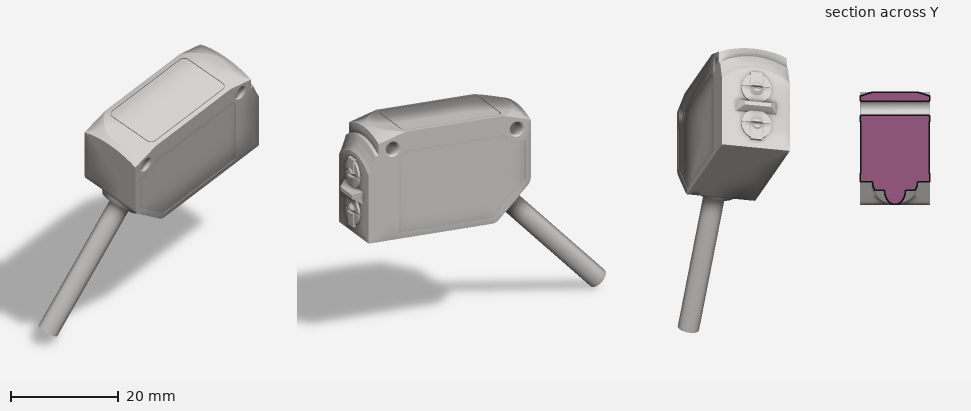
import cadquery as cq
import math

body_width = 13.0
body_depth = 31.15
body_height = 20.95
corner_cut = 7.1
corner_radius = 2.0
half_width = body_width / 2

crown_angle = 16.0
crown_radius = 18.0
crown_start = 1.1

hole_diameter = 2.55
hole_mouth_diameter = 3.0
hole_height = 17.95
hole_front = 2.85
hole_spacing = 25.4

window_width = 11.2
window_length = 20.55
window_center = 15.5
window_corner = 1.25
groove_width = 0.2
groove_depth = 0.2

panel_inset = 1.1
panel_rear = 27.0
panel_top = 17.25
panel_depth = 0.1
panel_corner_length = 1.15
panel_corner_height = 1.25
panel_hole_gap = 2.45
panel_hole_angle = 36.0

cover_axis_height = 6.25
cover_rim_radius = 12.65
cover_rim_rear = 31.65
cover_slope = [(31.8, 12.5), (32.2, 11.55), (32.75, 10.3), (33.2, 9.65)]
cover_rear = cover_slope[-1][0]

grip_height = 8.15
grip_rear = 34.8
grip_base = (7.9, 2.45)
grip_tip = (5.05, 0.75)

screw_offset = 3.6
screw_radius = 2.85
screw_rim = 0.4
screw_boss_height = 0.95
screw_boss_radius = 1.9
screw_boss_tip_radius = 0.8
screw_slot_width = 0.65
screw_slot_floor = 0.2
pointer_width = 2.2
pointer_reach = 3.05
pointer_height = 0.7

cable_radius = 2.0
axis_tilt = 135.0
cable_tip = -18.15
collar_profile = [(4.35, 0.0), (4.15, 0.6), (3.8, 1.0), (3.6, 1.1)]
overlap = 0.25


def side_block(outline, width):
    """Extrude a closed (Y, Z) outline symmetrically across X."""
    return cq.Workplane("YZ").polyline(outline).close().extrude(width / 2, both=True)


def rear_plane(y, height):
    """Plane facing +Y, its local x along -X and local y along +Z."""
    return cq.Workplane(cq.Plane(origin=(0, y, height), xDir=(-1, 0, 0), normal=(0, 1, 0)))


def crown_limit(end_y, inward):
    """Large cylinder rising from an end face; inward is +1 or -1 along Y."""
    slope = math.radians(crown_angle)
    axis = cq.Vector(0, inward * math.cos(slope), math.sin(slope))
    down = cq.Vector(0, inward * math.sin(slope), -math.cos(slope))
    crest = cq.Vector(0, end_y + inward * crown_start, body_height)
    start = crest + down * crown_radius - axis * body_depth
    return cq.Workplane(cq.Solid.makeCylinder(crown_radius, 3 * body_depth, start, axis))


def housing():
    outline = [
        (corner_cut, 0),
        (body_depth, 0),
        (body_depth, body_height),
        (0, body_height),
        (0, corner_cut),
    ]
    body = side_block(outline, body_width)
    reach = corner_cut + corner_radius
    cut_ends = cq.selectors.BoxSelector((-body_width, -reach, -reach), (body_width, reach, reach))
    body = body.edges("|X").edges(cut_ends).fillet(corner_radius)
    return body.intersect(crown_limit(0, 1)).intersect(crown_limit(body_depth, -1))


def mounting_hole(y):
    mouth_depth = (hole_mouth_diameter - hole_diameter) / 2
    half_profile = [
        (0, 0),
        (hole_diameter / 2, 0),
        (hole_diameter / 2, half_width - mouth_depth),
        (hole_mouth_diameter / 2, half_width),
        (0, half_width),
    ]
    half = cq.Workplane("XY").polyline(half_profile).close().revolve(360, (0, 0), (0, 1))
    whole = half.union(half.mirror("XZ"))
    return whole.rotate((0, 0, 0), (0, 0, 1), 90).translate((0, y, hole_height))


def window_groove():
    def rounded(width, length, radius):
        block = cq.Workplane("XY").rect(width, length).extrude(groove_depth)
        return block.edges("|Z").fillet(radius)

    outer = rounded(window_width, window_length, window_corner)
    inner = rounded(
        window_width - 2 * groove_width, window_length - 2 * groove_width, window_corner - groove_width
    )
    return outer.cut(inner).translate((0, window_center, body_height - groove_depth))


def label_panel(side):
    """Recess cutter for the side at X = side * half_width."""
    diagonal = corner_cut + panel_inset * math.sqrt(2)
    angle = math.radians(panel_hole_angle)

    def around_hole(below):
        return (
            hole_front + panel_hole_gap * math.cos(below),
            hole_height - panel_hole_gap * math.sin(below),
        )

    arc_end = around_hole(angle)
    arc_middle = around_hole((angle + math.pi / 2) / 2)
    straight_rise = panel_top - arc_end[1]
    panel = (
        cq.Workplane("YZ")
        .moveTo(diagonal - panel_inset, panel_inset)
        .lineTo(panel_rear, panel_inset)
        .lineTo(panel_rear, panel_top - panel_corner_height)
        .lineTo(panel_rear - panel_corner_length, panel_top)
        .lineTo(arc_end[0] + straight_rise * math.tan(angle), panel_top)
        .lineTo(*arc_end)
        .threePointArc(arc_middle, around_hole(math.pi / 2))
        .lineTo(panel_inset, hole_height - panel_hole_gap)
        .lineTo(panel_inset, diagonal - panel_inset)
        .close()
        .extrude(panel_depth, both=True)
    )
    return panel.translate((side * half_width, 0, 0))


def rear_cover():
    joint = body_depth - overlap
    profile = [(0, joint), (cover_rim_radius, joint), (cover_rim_radius, cover_rim_rear)]
    profile += [(radius, y) for y, radius in cover_slope]
    profile.append((0, cover_rear))
    dome = cq.Workplane("XY").polyline(profile).close().revolve(360, (0, 0), (0, 1))
    dome = dome.translate((0, 0, cover_axis_height))

    upper_limit = (
        cq.Workplane("XY")
        .box(body_width, cover_rear, body_height, centered=(True, False, False))
        .translate((0, 0, cover_axis_height))
    )
    lower = (
        cq.Workplane("XY")
        .box(body_width, cover_rear - joint, cover_axis_height, centered=(True, False, False))
        .translate((0, joint, 0))
    )
    return lower.union(dome.intersect(upper_limit))


def switch_grip():
    base = rear_plane(cover_rear, grip_height).rect(*grip_base)
    return base.workplane(offset=grip_rear - cover_rear).rect(*grip_tip).loft()


def adjuster_screw(direction):
    """Screw above (+1) or below (-1) the grip, its pointer aimed away from the grip."""
    face = rear_plane(cover_rear - overlap, grip_height + direction * screw_offset)
    rim = face.circle(screw_radius).extrude(overlap + screw_rim)
    pointer = (
        face.center(0, direction * pointer_reach / 2)
        .rect(pointer_width, pointer_reach)
        .extrude(overlap + pointer_height)
    )
    boss = (
        face.workplane(offset=overlap)
        .circle(screw_boss_radius)
        .workplane(offset=screw_boss_height)
        .circle(screw_boss_tip_radius)
        .loft()
    )
    slot = (
        face.workplane(offset=overlap + screw_slot_floor)
        .rect(body_width, screw_slot_width)
        .extrude(screw_boss_height)
    )
    return rim.union(pointer).union(boss).cut(slot)


def cable_with_collar():
    face_middle = corner_cut / 2
    cable_length = (face_middle - cable_tip) * math.sqrt(2) - cable_radius
    profile = [(0, -overlap), (collar_profile[0][0], -overlap)]
    profile += collar_profile
    collar_height = collar_profile[-1][1]
    profile += [
        (cable_radius, collar_height),
        (cable_radius, cable_length),
        (0, cable_length),
    ]
    upright = cq.Workplane("YZ").polyline(profile).close().revolve(360, (0, 0), (0, 1))
    tilted = upright.rotate((0, 0, 0), (1, 0, 0), axis_tilt)
    return tilted.translate((0, face_middle, face_middle))


result = housing().cut(window_groove())
for hole_y in (hole_front, hole_front + hole_spacing):
    result = result.cut(mounting_hole(hole_y))
for side in (-1, 1):
    result = result.cut(label_panel(side))
result = result.union(rear_cover()).union(cable_with_collar())
for direction in (-1, 1):
    result = result.union(adjuster_screw(direction))
result = result.union(switch_grip())